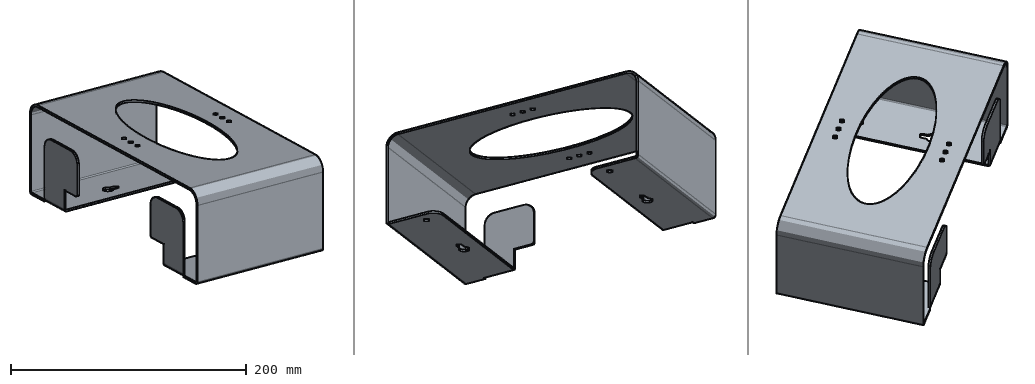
import cadquery as cq

length = 248.0
depth = 130.0
height = 85.0
sheet = 2.0
top_bend_radius = 12.0
bottom_bend_radius = 3.0

foot_width = 50.5
foot_corner_radius = 10.0
foot_inner_x = length / 2 - foot_width

tab_outer_x = length / 2 - 21.5
tab_inner_x = length / 2 - 70.0
tab_height = 59.8
tab_step_height = 20.3
tab_top_radius = 10.0
tab_step_radius = 2.0

opening_length = 155.7
opening_width = 63.2
top_hole_diameter = 4.0
top_hole_pitch = 10.0
top_hole_y = 47.4

mount_x = 90.0
screw_diameter = 5.0
keyhole_head_diameter = 9.0
keyhole_head_y = -8.0
keyhole_slot_length = 8.2
rear_hole_y = 55.0


def rounded_block(x_size, z_size, bottom_z, top_radius, bottom_radius):
    """Full-depth block with rounded long edges."""
    block = cq.Workplane("XY").box(x_size, depth, z_size, centered=(True, True, False))
    block = block.edges("|Y and >Z").fillet(top_radius)
    block = block.edges("|Y and <Z").fillet(bottom_radius)
    return block.translate((0, 0, bottom_z))


def make_shell():
    outer = rounded_block(length, height, 0, top_bend_radius, bottom_bend_radius)
    inner = rounded_block(
        length - 2 * sheet,
        height - 2 * sheet,
        sheet,
        top_bend_radius - sheet,
        bottom_bend_radius - sheet,
    )
    gap = cq.Workplane("XY").box(2 * foot_inner_x, depth, 2 * sheet)
    shell = outer.cut(inner).cut(gap)
    rear_corners = cq.selectors.BoxSelector(
        (-foot_inner_x - sheet, depth / 2 - sheet, -sheet),
        (foot_inner_x + sheet, depth / 2 + sheet, 2 * sheet),
    )
    return shell.edges("|Z").edges(rear_corners).fillet(foot_corner_radius)


def make_right_tab():
    """L-shaped upright plate, bent up from the right foot."""
    tab = (
        cq.Workplane("XZ", origin=(0, -depth / 2, 0))
        .moveTo(tab_outer_x, 0)
        .lineTo(tab_outer_x, tab_height)
        .lineTo(tab_inner_x, tab_height)
        .lineTo(tab_inner_x, tab_step_height)
        .lineTo(foot_inner_x, tab_step_height)
        .lineTo(foot_inner_x, 0)
        .close()
        .extrude(-sheet)
    )
    tab = tab.edges("|Y and >Z").fillet(tab_top_radius)
    step_corner = cq.selectors.NearestToPointSelector(
        (tab_inner_x, (sheet - depth) / 2, tab_step_height)
    )
    return tab.edges("|Y").edges(step_corner).fillet(tab_step_radius)


def make_bend_trim():
    """Material outside the rounded bend between the right foot and its tab."""
    front_y = -depth / 2
    center_y = front_y + bottom_bend_radius
    return (
        cq.Workplane("YZ", origin=(foot_inner_x, 0, 0))
        .moveTo(front_y, 0)
        .lineTo(center_y, 0)
        .radiusArc((front_y, bottom_bend_radius), bottom_bend_radius)
        .close()
        .extrude(tab_outer_x - foot_inner_x)
    )


def make_top_openings():
    base = cq.Workplane("XY", origin=(0, 0, height - 2 * sheet))
    cutter = base.ellipse(opening_length / 2, opening_width / 2).extrude(3 * sheet)
    hole_points = [
        (column * top_hole_pitch, side * top_hole_y)
        for column in (-1, 0, 1)
        for side in (-1, 1)
    ]
    holes = base.pushPoints(hole_points).circle(top_hole_diameter / 2).extrude(3 * sheet)
    return cutter.union(holes)


def make_right_mounts():
    """Keyhole with its slot pointing to the rear, plus a plain rear hole."""
    base = cq.Workplane("XY", origin=(mount_x, 0, -sheet))
    cutter = base.center(0, keyhole_head_y).circle(keyhole_head_diameter / 2).extrude(3 * sheet)
    slot = (
        base.center(0, keyhole_head_y + keyhole_slot_length / 2)
        .slot2D(keyhole_slot_length + screw_diameter, screw_diameter, 90)
        .extrude(3 * sheet)
    )
    rear_hole = base.center(0, rear_hole_y).circle(screw_diameter / 2).extrude(3 * sheet)
    return cutter.union(slot).union(rear_hole)


def both_sides(right_side):
    return right_side.union(right_side.mirror("YZ"))


result = make_shell().union(both_sides(make_right_tab()))
result = result.cut(both_sides(make_bend_trim()))
result = result.cut(make_top_openings())
result = result.cut(both_sides(make_right_mounts()))